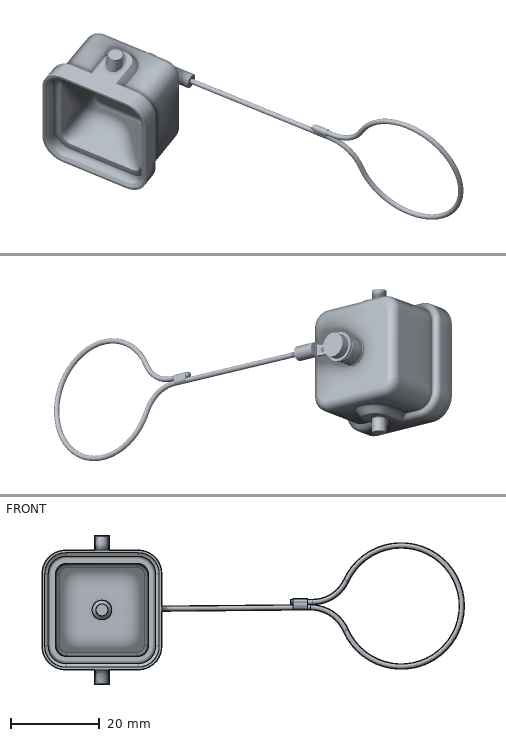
import cadquery as cq
import math


flange_width = 27.0
flange_corner = 5.35
flange_depth = 5.25
flange_edge_radius = 1.25
body_width = 24.1
body_corner = 4.0
body_depth = 18.95
body_draft = 0.4
body_edge_radius = 2.0

recess_width = 24.2
recess_corner = 4.0
recess_depth = 3.2
rim_chamfer_width = 0.8
rim_chamfer_depth = 0.5
cavity_width = 21.0
cavity_corner = 2.6
cavity_depth = 17.3
cavity_edge_radius = 0.8
cavity_lip_depth = 1.2
cavity_draft = 0.5

rivet_base_radius = 2.2
rivet_tip_radius = 1.35
rivet_height = 1.0

pad_base_radius = 4.4
pad_top_radius = 3.1
pad_axis_y = 10.95
pad_start_y = 1.25
pad_embed = 0.5
pin_tip_z = 16.75
pin_radius = 1.66
pin_axis_y = 9.43
pin_foot_radius = 1.5
pin_foot_offset = 0.85
pin_foot_tip_offset = 0.12

neck_radius = 2.25
stem_foot_radius = 3.3
stem_foot_end = 19.25
stem_radius = 3.1
stem_end = 22.7
plate_start = 23.2
plate_end = 23.85
plate_radius = 3.4
head_radius = 2.8
head_end = 25.95

ferrule_radius = 1.7
ferrule_start = 5.75
ferrule_length = 5.0
overall_back = 26.65
tongue_width = 2.4
tongue_rise = 0.75
tongue_bend_x = 5.0

wire_radius = 0.6
wire_y = overall_back - ferrule_radius
wire_start_z = 0.25
far_end_x = 81.7
loop_radius = 13.65
loop_center_x = far_end_x - loop_radius - wire_radius
loop_center_z = 0.9
lower_wire_z = 0.6
upper_wire_z = 1.8
upper_wire_end_x = 42.5
lower_bend_x = 47.0
upper_bend_x = 47.5

sleeve_start = 43.1
sleeve_length = 3.2
sleeve_width = 1.6
sleeve_height = 2.5
sleeve_center_z = 1.3


def rounded_block(width, corner, start, end, taper=0):
    """Square block with round corners, running along Y from start to end."""
    return (
        cq.Workplane("XZ", origin=(0, start, 0))
        .sketch()
        .rect(width, width)
        .vertices()
        .fillet(corner)
        .finalize()
        .extrude(start - end, taper=taper)
    )


def cylinder_y(radius, start, end):
    return cq.Workplane("XZ", origin=(0, start, 0)).circle(radius).extrude(start - end)


def cap_shell():
    flange = rounded_block(flange_width, flange_corner, 0, flange_depth)
    flange = flange.faces(">Y").edges().fillet(flange_edge_radius)
    body = rounded_block(body_width, body_corner, 0, body_depth, body_draft)
    body = body.faces(">Y").edges().fillet(body_edge_radius)
    return flange.union(body)


def locking_pad():
    """U-shaped pad on the +Z side, flush with the flange, with sloping sides."""
    body_side = body_width / 2
    pad_height = flange_width / 2 - body_side
    slope = (pad_base_radius - pad_top_radius) / pad_height
    bottom_radius = pad_base_radius + slope * pad_embed
    return (
        cq.Workplane("XY", origin=(0, 0, body_side - pad_embed))
        .moveTo(-bottom_radius, pad_start_y)
        .lineTo(bottom_radius, pad_start_y)
        .lineTo(bottom_radius, pad_axis_y)
        .threePointArc((0, pad_axis_y + bottom_radius), (-bottom_radius, pad_axis_y))
        .close()
        .extrude(pad_height + pad_embed, taper=math.degrees(math.atan(slope)))
    )


def locking_pin():
    """Round pin on the +Z side with a sloping foot toward the open face."""
    base_z = flange_width / 2
    height = pin_tip_z - base_z
    pin = cq.Workplane("XY", origin=(0, pin_axis_y, base_z)).circle(pin_radius).extrude(height)
    foot = (
        cq.Workplane("XY", origin=(0, pin_axis_y, base_z))
        .center(0, -pin_foot_offset)
        .circle(pin_foot_radius)
        .workplane(offset=height)
        .center(0, pin_foot_offset - pin_foot_tip_offset)
        .circle(pin_foot_radius)
        .loft()
    )
    return pin.union(foot)


def cavity():
    recess = rounded_block(recess_width, recess_corner, 0, recess_depth)
    mouth_width = recess_width + 2 * rim_chamfer_width
    mouth_taper = math.degrees(math.atan(rim_chamfer_width / rim_chamfer_depth))
    mouth = rounded_block(
        mouth_width, recess_corner + rim_chamfer_width, 0, rim_chamfer_depth, mouth_taper
    )
    pocket_start = recess_depth + cavity_lip_depth
    lip = rounded_block(cavity_width, cavity_corner, 0, pocket_start)
    pocket = rounded_block(
        cavity_width, cavity_corner, pocket_start, cavity_depth, cavity_draft
    )
    pocket = pocket.faces(">Y").edges().fillet(cavity_edge_radius)
    return recess.union(mouth).union(lip).union(pocket)


def rivet_end():
    return (
        cq.Workplane("XZ", origin=(0, cavity_depth, 0))
        .circle(rivet_base_radius)
        .workplane(offset=rivet_height)
        .circle(rivet_tip_radius)
        .loft()
    )


def stem():
    core = cylinder_y(neck_radius, cavity_depth, head_end)
    foot = cylinder_y(stem_foot_radius, cavity_depth, stem_foot_end)
    collar = cylinder_y(stem_radius, cavity_depth, stem_end)
    plate = cylinder_y(plate_radius, plate_start, plate_end)
    head = cylinder_y(head_radius, plate_end, head_end)
    return core.union(foot).union(collar).union(plate).union(head)


def tongue():
    """Strip from the round plate to the ferrule, bent up at its end."""
    thickness = plate_end - plate_start
    end_x = ferrule_start + thickness
    return (
        cq.Workplane("XY", origin=(0, 0, wire_start_z - tongue_width / 2))
        .moveTo(0, plate_start)
        .lineTo(end_x, plate_start)
        .lineTo(end_x, plate_end + tongue_rise)
        .lineTo(ferrule_start, plate_end + tongue_rise)
        .lineTo(tongue_bend_x, plate_end)
        .lineTo(0, plate_end)
        .close()
        .extrude(tongue_width)
    )


def ferrule():
    return (
        cq.Workplane("YZ", origin=(ferrule_start, wire_y, wire_start_z))
        .circle(ferrule_radius)
        .extrude(ferrule_length)
    )


def straight_wire():
    """Wire from the ferrule to the start of the lower bend."""
    start = cq.Vector(ferrule_start + ferrule_length / 2, wire_y, wire_start_z)
    run = cq.Vector(lower_bend_x, wire_y, lower_wire_z) - start
    return cq.Workplane(obj=cq.Solid.makeCylinder(wire_radius, run.Length, start, run))


def bend(bend_x, wire_z, side):
    """Middle and end points of the bend that leaves (bend_x, wire_z) along X and meets the loop.

    The side is +1 for a bend toward +Z and -1 toward -Z. The bend touches the loop circle
    from outside, which fixes its radius.
    """
    run = loop_center_x - bend_x
    rise = side * (wire_z - loop_center_z)
    radius = (run**2 + rise**2 - loop_radius**2) / (2 * (loop_radius - rise))
    center_z = wire_z + side * radius
    turn = math.acos((loop_center_z - center_z) * -side / (loop_radius + radius))

    def point(angle):
        return (bend_x + radius * math.sin(angle), center_z - side * radius * math.cos(angle))

    return point(turn / 2), point(turn)


def wire_loop():
    lower_middle, lower_end = bend(lower_bend_x, lower_wire_z, -1)
    upper_middle, upper_end = bend(upper_bend_x, upper_wire_z, 1)
    path = (
        cq.Workplane("XZ", origin=(0, wire_y, 0))
        .moveTo(upper_wire_end_x, upper_wire_z)
        .lineTo(upper_bend_x, upper_wire_z)
        .threePointArc(upper_middle, upper_end)
        .threePointArc((loop_center_x + loop_radius, loop_center_z), lower_end)
        .threePointArc(lower_middle, (lower_bend_x, lower_wire_z))
    )
    start = (upper_wire_end_x, wire_y, upper_wire_z)
    return cq.Workplane("YZ", origin=start).circle(wire_radius).sweep(path)


def crimp_sleeve():
    return (
        cq.Workplane("YZ", origin=(sleeve_start, wire_y, sleeve_center_z))
        .slot2D(sleeve_height, sleeve_width, 90)
        .extrude(sleeve_length)
    )


result = cap_shell()
for feature in (locking_pad(), locking_pin()):
    result = result.union(feature).union(feature.mirror("XY"))
result = result.cut(cavity()).union(rivet_end())
for feature in (stem(), tongue(), ferrule(), straight_wire(), wire_loop(), crimp_sleeve()):
    result = result.union(feature)